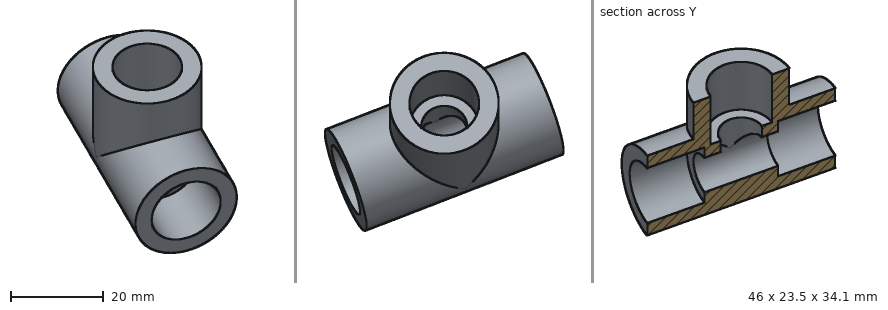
import cadquery as cq

BODY_DIAMETER = 23.5
RUN_LENGTH = 46.0
BRANCH_HEIGHT = 22.4
BORE_DIAMETER = 10.0
RUN_SOCKET_DIAMETER = 16.0
BRANCH_SOCKET_DIAMETER = 15.0
SOCKET_DEPTH = 14.0

HALF_RUN = RUN_LENGTH / 2

ARMS = [
    (cq.Vector(-1, 0, 0), HALF_RUN, RUN_SOCKET_DIAMETER),
    (cq.Vector(1, 0, 0), HALF_RUN, RUN_SOCKET_DIAMETER),
    (cq.Vector(0, 0, 1), BRANCH_HEIGHT, BRANCH_SOCKET_DIAMETER),
]


def cylinder(diameter, length, start, direction):
    """Solid cylinder growing from the start point along the direction."""
    return cq.Workplane(cq.Solid.makeCylinder(diameter / 2, length, start, direction))


def run_and_branch(diameter):
    """Tee-shaped solid of equal-diameter cylinders following both axes."""
    run = cylinder(diameter, RUN_LENGTH, cq.Vector(-HALF_RUN, 0, 0), cq.Vector(1, 0, 0))
    branch = cylinder(diameter, BRANCH_HEIGHT, cq.Vector(0, 0, 0), cq.Vector(0, 0, 1))
    return run.union(branch)


def socket(direction, reach, diameter):
    """Counterbore at the mouth of an arm, stopping at a flat shoulder."""
    return cylinder(diameter, SOCKET_DEPTH, direction * (reach - SOCKET_DEPTH), direction)


result = run_and_branch(BODY_DIAMETER).cut(run_and_branch(BORE_DIAMETER))
for arm_direction, arm_reach, socket_diameter in ARMS:
    result = result.cut(socket(arm_direction, arm_reach, socket_diameter))